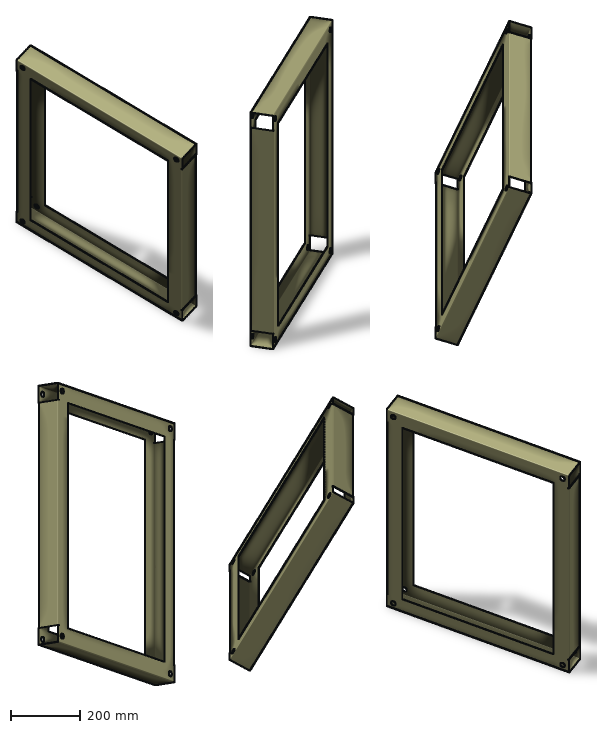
import cadquery as cq

WIDTH = 600.0
DEPTH = 70.0
HEIGHT = 773.0

SHEET = 2.0
BEND_RADIUS = 3.5
INNER_RADIUS = BEND_RADIUS - SHEET

FLANGE = 51.0
HOLE_DIAMETER = 15.5
HOLE_INSET = 22.0

side_wall_height = HEIGHT - 2 * FLANGE
window_width = WIDTH - 2 * FLANGE


def folded_tube():
    """Top and bottom walls folded into the front and back faces, open at the ends."""
    outer = cq.Workplane("XY").box(WIDTH, DEPTH, HEIGHT).edges("|X").fillet(BEND_RADIUS)
    inner = (
        cq.Workplane("XY")
        .box(WIDTH, DEPTH - 2 * SHEET, HEIGHT - 2 * SHEET)
        .edges("|X")
        .fillet(INNER_RADIUS)
    )
    return outer.cut(inner)


def side_walls():
    """Left and right walls with bends, stopping level with the window."""
    outer = (
        cq.Workplane("XY")
        .box(WIDTH, DEPTH, side_wall_height)
        .edges("|Z")
        .fillet(BEND_RADIUS)
    )
    inner = (
        cq.Workplane("XY")
        .box(WIDTH - 2 * SHEET, DEPTH - 2 * SHEET, side_wall_height)
        .edges("|Z")
        .fillet(INNER_RADIUS)
    )
    return outer.cut(inner)


def middle_band():
    """Block spanning the side wall height, where the side walls replace the tube."""
    return cq.Workplane("XY").box(WIDTH, DEPTH, side_wall_height)


def window():
    """Opening through the front and back faces."""
    return cq.Workplane("XY").box(window_width, DEPTH, side_wall_height)


def corner_holes():
    """Four holes through both faces, one near each corner."""
    return (
        cq.Workplane("XZ")
        .rect(WIDTH - 2 * HOLE_INSET, HEIGHT - 2 * HOLE_INSET, forConstruction=True)
        .vertices()
        .circle(HOLE_DIAMETER / 2)
        .extrude(DEPTH / 2, both=True)
    )


frame = folded_tube().cut(middle_band()).union(side_walls())
result = frame.cut(window()).cut(corner_holes())